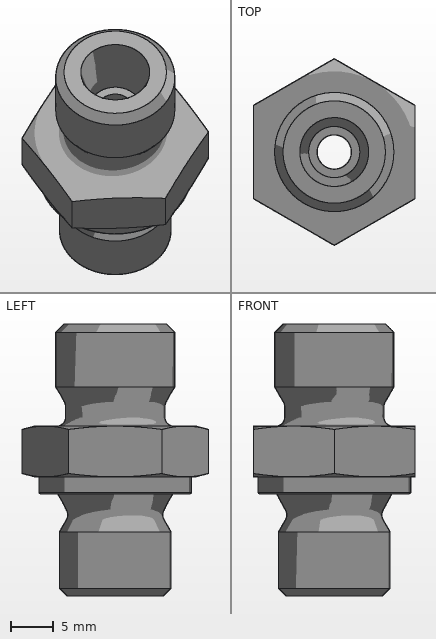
import cadquery as cq
import math

total_height = 32.0
collar_bottom = 12.0
hex_bottom = 14.0
hex_top = 20.0

hex_across_flats = 19.0
hex_face_diameter = 18.9
hex_chamfer_angle = 15.0

collar_diameter = 18.0
collar_chamfer = 0.2

upper_diameter = 14.0
upper_chamfer = 1.0
upper_thread_bottom = 24.58
upper_neck_diameter = 11.7
neck_cone_angle = 30.0
neck_blend_radius = 1.0
hex_root_radius = 1.0

lower_diameter = 13.15
lower_chamfer = 0.93
lower_thread_top = 7.55
groove_arc_bottom = 8.95
groove_arc_top = 10.15
groove_cone_angle = 30.0
collar_root_diameter = 13.55

bore_diameter = 4.0
socket_diameter = 6.0
socket_mouth_diameter = 8.1
socket_half_angle = 12.0
socket_depth = 7.0


def make_hexagon():
    """Hexagonal prism with two flats facing X, trimmed by a cone at each end."""
    height = hex_top - hex_bottom
    corner_radius = hex_across_flats / math.sqrt(3)
    face_radius = hex_face_diameter / 2
    corner_drop = (corner_radius - face_radius) * math.tan(math.radians(hex_chamfer_angle))
    prism = (
        cq.Workplane("XY")
        .workplane(offset=hex_bottom)
        .polygon(6, 2 * corner_radius)
        .extrude(height)
        .rotate((0, 0, 0), (0, 0, 1), 30)
    )
    envelope = (
        cq.Workplane("XZ")
        .moveTo(0, hex_bottom)
        .lineTo(face_radius, hex_bottom)
        .lineTo(corner_radius, hex_bottom + corner_drop)
        .lineTo(corner_radius, hex_top - corner_drop)
        .lineTo(face_radius, hex_top)
        .lineTo(0, hex_top)
        .close()
        .revolve(360, (0, 0, 0), (0, 1, 0))
    )
    return prism.intersect(envelope)


def make_collar():
    return (
        cq.Workplane("XY")
        .workplane(offset=collar_bottom)
        .circle(collar_diameter / 2)
        .extrude(hex_bottom - collar_bottom)
        .faces("<Z")
        .edges()
        .chamfer(collar_chamfer)
    )


def make_upper_end():
    """Upper thread blank, tapering into a straight neck with a filleted root."""
    thread_radius = upper_diameter / 2
    neck_radius = upper_neck_diameter / 2
    cone_angle = math.radians(neck_cone_angle)
    cone_height = (thread_radius - neck_radius) / math.tan(cone_angle)
    neck_top = upper_thread_bottom - cone_height

    tangent_length = neck_blend_radius * math.tan(cone_angle / 2)
    blend_bottom = neck_top - tangent_length
    blend_center_r = neck_radius + neck_blend_radius

    def blend_point(angle):
        return (
            blend_center_r - neck_blend_radius * math.cos(angle),
            blend_bottom + neck_blend_radius * math.sin(angle),
        )

    root_center_r = neck_radius + hex_root_radius
    root_top = hex_top + hex_root_radius
    root_diagonal = hex_root_radius * math.sqrt(0.5)
    return (
        cq.Workplane("XZ")
        .moveTo(0, hex_top)
        .lineTo(root_center_r, hex_top)
        .threePointArc((root_center_r - root_diagonal, root_top - root_diagonal), (neck_radius, root_top))
        .lineTo(neck_radius, blend_bottom)
        .threePointArc(blend_point(cone_angle / 2), blend_point(cone_angle))
        .lineTo(thread_radius, upper_thread_bottom)
        .lineTo(thread_radius, total_height - upper_chamfer)
        .lineTo(thread_radius - upper_chamfer, total_height)
        .lineTo(0, total_height)
        .close()
        .revolve(360, (0, 0, 0), (0, 1, 0))
    )


def make_lower_end():
    """Lower thread blank with a rounded V groove below the collar."""
    thread_radius = lower_diameter / 2
    cone_angle = math.radians(groove_cone_angle)
    cone_height = groove_arc_bottom - lower_thread_top
    arc_end_r = thread_radius - cone_height * math.tan(cone_angle)
    half_chord = (groove_arc_top - groove_arc_bottom) / 2
    arc_depth = half_chord * math.tan(cone_angle / 2)
    return (
        cq.Workplane("XZ")
        .moveTo(0, 0)
        .lineTo(thread_radius - lower_chamfer, 0)
        .lineTo(thread_radius, lower_chamfer)
        .lineTo(thread_radius, lower_thread_top)
        .lineTo(arc_end_r, groove_arc_bottom)
        .threePointArc((arc_end_r - arc_depth, groove_arc_bottom + half_chord), (arc_end_r, groove_arc_top))
        .lineTo(collar_root_diameter / 2, collar_bottom)
        .lineTo(0, collar_bottom)
        .close()
        .revolve(360, (0, 0, 0), (0, 1, 0))
    )


def make_bore():
    """Through bore opening into a straight socket and a conical mouth."""
    bore_radius = bore_diameter / 2
    socket_radius = socket_diameter / 2
    mouth_radius = socket_mouth_diameter / 2
    cone_depth = (mouth_radius - socket_radius) / math.tan(math.radians(socket_half_angle))
    socket_floor = total_height - socket_depth
    return (
        cq.Workplane("XZ")
        .moveTo(0, 0)
        .lineTo(bore_radius, 0)
        .lineTo(bore_radius, socket_floor)
        .lineTo(socket_radius, socket_floor)
        .lineTo(socket_radius, total_height - cone_depth)
        .lineTo(mouth_radius, total_height)
        .lineTo(0, total_height)
        .close()
        .revolve(360, (0, 0, 0), (0, 1, 0))
    )


body = make_lower_end().union(make_collar()).union(make_hexagon()).union(make_upper_end())
result = body.cut(make_bore())